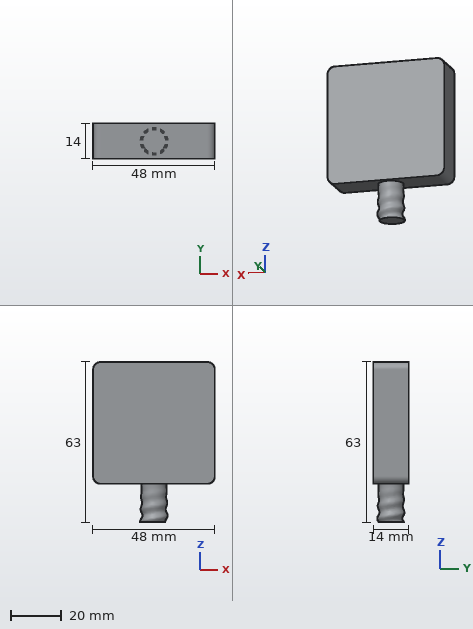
import cadquery as cq
import math

housing_side = 48.0
housing_depth = 14.0
corner_radius = 3.0

cable_radius = 5.0
cable_length = 15.0
cable_overlap = 1.0
spiral_pitch = 4.9
spiral_end_angle = 165.0
spiral_end_offset = 0.55
sections_per_turn = 12

housing_bottom = -housing_side / 2


def make_housing():
    block = cq.Workplane("XY").box(housing_side, housing_depth, housing_side)
    return block.edges("|Y").fillet(corner_radius)


def cable_section(drop):
    """Horizontal circle at a given distance below the housing."""
    offset = spiral_end_offset * drop / cable_length
    turns_from_end = (cable_length - drop) / spiral_pitch
    angle = math.radians(spiral_end_angle) + 2 * math.pi * turns_from_end
    centre = cq.Vector(
        offset * math.cos(angle),
        offset * math.sin(angle),
        housing_bottom - drop,
    )
    return cq.Wire.makeCircle(cable_radius, centre, cq.Vector(0, 0, 1))


def make_cable():
    step_count = math.ceil(sections_per_turn * cable_length / spiral_pitch)
    drops = [cable_length * i / step_count for i in range(step_count + 1)]
    spiral = cq.Solid.makeLoft([cable_section(drop) for drop in drops])
    root = cq.Solid.makeCylinder(cable_radius, cable_overlap, cq.Vector(0, 0, housing_bottom))
    return cq.Workplane(spiral).union(cq.Workplane(root))


result = make_housing().union(make_cable())